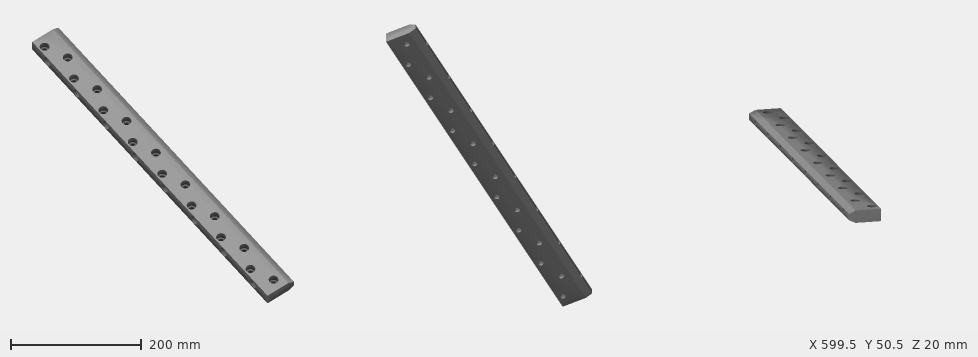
import cadquery as cq

length = 599.5
width = 50.5
thickness = 20.0
bevel_width = 10.0
bevel_height = 5.0

hole_count = 8
hole_pitch = length / hole_count
hole_diameter = 9.0
bore_diameter = 15.0
bore_depth = 11.0
front_row_offset = 9.5
row_spacing = 16.0


def make_bar():
    """Rectangular bar with both long rear edges bevelled; front face at Y = 0."""
    profile = [
        (0, -thickness / 2),
        (width - bevel_width, -thickness / 2),
        (width, -thickness / 2 + bevel_height),
        (width, thickness / 2 - bevel_height),
        (width - bevel_width, thickness / 2),
        (0, thickness / 2),
    ]
    bar = cq.Workplane("YZ").polyline(profile).close().extrude(length)
    return bar.translate((-length / 2, 0, 0))


def row_positions(first_hole, offset):
    """Points of one hole row, with the first hole measured from the left end."""
    start = first_hole - length / 2
    return [(start + i * hole_pitch, offset) for i in range(hole_count)]


def drill_row(bar, plane, first_hole, offset):
    """Drill a row of counterbored through holes into the bar."""
    return (
        bar.copyWorkplane(plane)
        .pushPoints(row_positions(first_hole, offset))
        .cboreHole(hole_diameter, bore_diameter, bore_depth)
    )


top_face = cq.Workplane("XY", origin=(0, 0, thickness / 2))
front_face = cq.Workplane("XZ")

result = make_bar()
result = drill_row(result, top_face, hole_pitch / 4, front_row_offset)
result = drill_row(result, top_face, 3 * hole_pitch / 4, front_row_offset + row_spacing)
result = drill_row(result, front_face, hole_pitch / 2, 0)